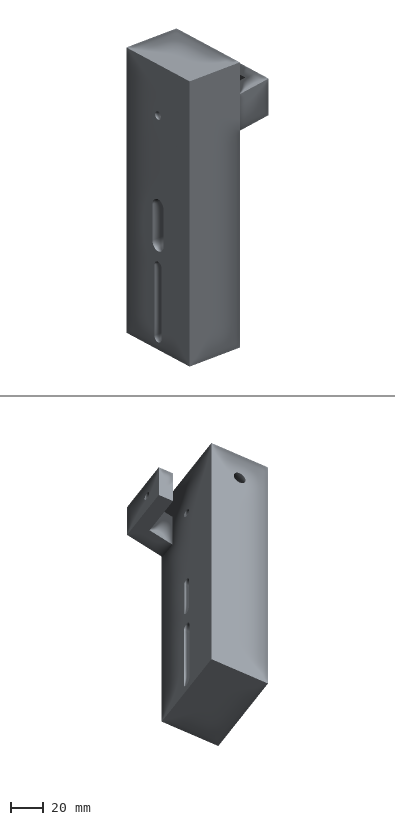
import cadquery as cq
import math

BLOCK_WIDTH = 60.0
BLOCK_DEPTH = 40.0
BLOCK_HEIGHT = 195.0
CENTER_X = BLOCK_WIDTH / 2

HOOK_REACH = 28.0
HOOK_HEIGHT = 25.0
HOOK_TOP_DROP = 22.5
FINGER_THICKNESS = 10.0
FINGER_TIP_X = 15.7
ARM_WIDTH = 12.0
ARM_ROOT_X = 59.0
ARM_LEAN = 10.0

FRONT_HOLE_DIAMETER = 5.5
FRONT_HOLE_DROP = 35.0

STEPPED_SLOT_TRAVEL = 25.0
STEPPED_SLOT_Z = 85.0
STEPPED_SLOT_WIDTH = FRONT_HOLE_DIAMETER
RECESS_WIDTH = 10.5
RECESS_DEPTH = BLOCK_DEPTH / 2

LOWER_SLOT_TRAVEL = 48.5
LOWER_SLOT_WIDTH = 6.6
LOWER_SLOT_Z = 32.5

SIDE_HOLE_DIAMETER = 8.3
SIDE_HOLE_DROP = 20.5
SIDE_HOLE_DEPTH = BLOCK_WIDTH / 2


def make_hook():
    """Hook profile in the XY plane, extruded along Z."""
    lean = math.tan(math.radians(ARM_LEAN))
    back_y = BLOCK_DEPTH + HOOK_REACH
    finger_y = back_y - FINGER_THICKNESS
    outer_corner_x = ARM_ROOT_X - HOOK_REACH * lean
    inner_root_x = ARM_ROOT_X - ARM_WIDTH
    inner_corner_x = inner_root_x - (HOOK_REACH - FINGER_THICKNESS) * lean
    outline = [
        (ARM_ROOT_X, BLOCK_DEPTH),
        (outer_corner_x, back_y),
        (FINGER_TIP_X, back_y),
        (FINGER_TIP_X, finger_y),
        (inner_corner_x, finger_y),
        (inner_root_x, BLOCK_DEPTH),
    ]
    hook_bottom = BLOCK_HEIGHT - HOOK_TOP_DROP - HOOK_HEIGHT
    return cq.Workplane("XY").workplane(offset=hook_bottom).polyline(outline).close().extrude(HOOK_HEIGHT)


def front_slot(travel, width, center_z, depth):
    """Vertical round-ended slot cutter going in from the front face."""
    return (
        cq.Workplane("XZ")
        .center(CENTER_X, center_z)
        .slot2D(travel + width, width, 90)
        .extrude(-depth)
    )


def front_hole():
    """Round cutter along Y through the block and the finger behind it."""
    return (
        cq.Workplane("XZ")
        .center(CENTER_X, BLOCK_HEIGHT - FRONT_HOLE_DROP)
        .circle(FRONT_HOLE_DIAMETER / 2)
        .extrude(-(BLOCK_DEPTH + HOOK_REACH))
    )


def side_hole():
    """Blind round cutter going in from the left face along X."""
    return (
        cq.Workplane("YZ")
        .center(BLOCK_DEPTH / 2, BLOCK_HEIGHT - SIDE_HOLE_DROP)
        .circle(SIDE_HOLE_DIAMETER / 2)
        .extrude(SIDE_HOLE_DEPTH)
    )


block = cq.Workplane("XY").box(BLOCK_WIDTH, BLOCK_DEPTH, BLOCK_HEIGHT, centered=False)
part = block.union(make_hook())
part = part.cut(front_hole())
part = part.cut(front_slot(STEPPED_SLOT_TRAVEL, STEPPED_SLOT_WIDTH, STEPPED_SLOT_Z, BLOCK_DEPTH))
part = part.cut(front_slot(STEPPED_SLOT_TRAVEL, RECESS_WIDTH, STEPPED_SLOT_Z, RECESS_DEPTH))
part = part.cut(front_slot(LOWER_SLOT_TRAVEL, LOWER_SLOT_WIDTH, LOWER_SLOT_Z, BLOCK_DEPTH))

result = part.cut(side_hole())